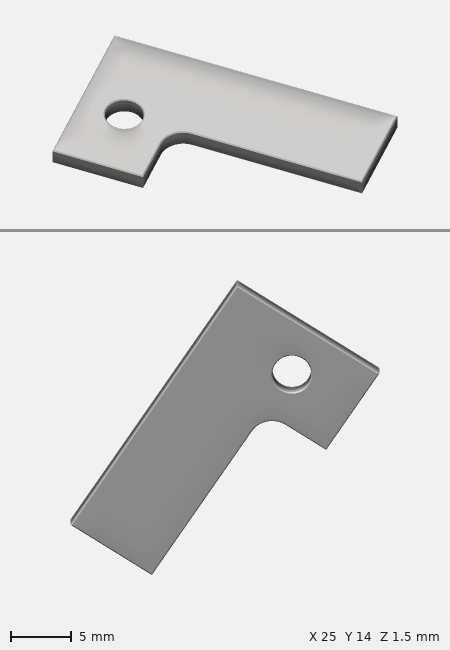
import cadquery as cq

length = 25.0
width = 14.0
thickness = 1.5
limb_width = 8.0
inner_corner_radius = 2.0
hole_diameter = 3.2
edge_chamfer = 0.1

inner_edge_y = width - limb_width
hole_x = limb_width / 2
hole_y = inner_edge_y


def l_plate():
    """L-shaped plate with a rounded inner corner."""
    return (
        cq.Workplane("XY")
        .moveTo(0, 0)
        .lineTo(limb_width, 0)
        .lineTo(limb_width, inner_edge_y - inner_corner_radius)
        .radiusArc((limb_width + inner_corner_radius, inner_edge_y), inner_corner_radius)
        .lineTo(length, inner_edge_y)
        .lineTo(length, width)
        .lineTo(0, width)
        .close()
        .extrude(thickness)
    )


def through_hole():
    """Cylinder that cuts the hole through the plate."""
    return cq.Workplane("XY").center(hole_x, hole_y).circle(hole_diameter / 2).extrude(thickness)


result = l_plate().cut(through_hole()).faces("<Z or >Z").edges().chamfer(edge_chamfer)